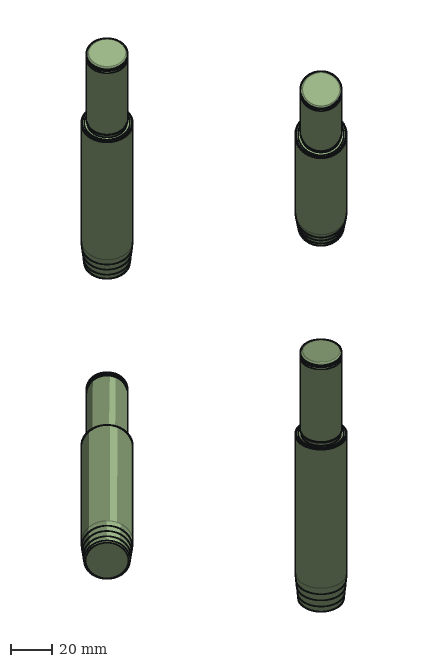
import cadquery as cq

total_height = 150.0
body_radius = 12.52
body_top = 100.0
body_top_chamfer = 0.5
recess_radius = 11.1
recess_depth = 0.2
rod_radius = 10.0

taper_height = 16.0
band_count = 4
band_height = taper_height / band_count
foot_radius = 11.1
step_depth = 0.08
foot_chamfer = 0.8

groove_radius = 9.6
groove_slope = 0.9
neck_top = 101.5
tip_groove_bottom = 147.2
tip_groove_top = 148.5
tip_radius = 1.0


def ring(bottom, top, bottom_radius, top_radius):
    """Solid frustum or cylinder about Z."""
    profile = [(0, bottom), (bottom_radius, bottom), (top_radius, top), (0, top)]
    return cq.Workplane("XZ").polyline(profile).close().revolve(360, (0, 0, 0), (0, 1, 0))


def make_foot():
    """Conical bands, each set in by a small step from the band above."""
    shrink = (body_radius - foot_radius - (band_count - 1) * step_depth) / band_count
    foot = None
    for index in range(band_count):
        top = taper_height - index * band_height
        top_radius = body_radius - index * (shrink + step_depth)
        band = ring(top - band_height, top, top_radius - shrink, top_radius)
        foot = band if foot is None else foot.union(band)
    return foot.faces("<Z").edges().chamfer(foot_chamfer)


def make_body():
    """Plain sleeve with a chamfered rim and a shallow recess around the rod."""
    body = ring(taper_height, body_top, body_radius, body_radius)
    body = body.faces(">Z").edges().chamfer(body_top_chamfer)
    return body.cut(ring(body_top - recess_depth, body_top, recess_radius, recess_radius))


def make_rod():
    """Rod with a relief neck above the body and a snap groove below the rounded tip."""
    outline = [
        (0, body_top - recess_depth),
        (groove_radius, body_top - recess_depth),
        (groove_radius, neck_top),
        (rod_radius, neck_top + groove_slope),
        (rod_radius, tip_groove_bottom - groove_slope),
        (groove_radius, tip_groove_bottom),
        (groove_radius, tip_groove_top),
        (rod_radius, tip_groove_top),
        (rod_radius, total_height),
        (0, total_height),
    ]
    rod = cq.Workplane("XZ").polyline(outline).close().revolve(360, (0, 0, 0), (0, 1, 0))
    return rod.faces(">Z").edges().fillet(tip_radius)


result = make_foot().union(make_body()).union(make_rod())